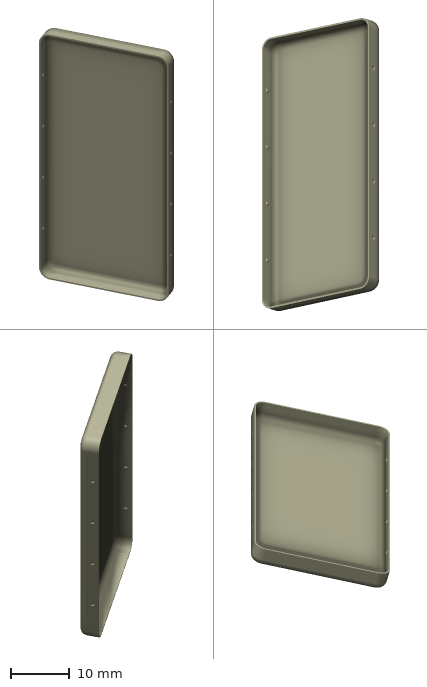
import cadquery as cq
import math

width = 23.9
depth = 3.5
height = 47.9

wall = 0.3
floor = 0.3
corner_radius = 2.0
outer_edge_radius = 1.3
inner_edge_radius = 1.0

dimple_radius = 0.4
dimple_depth = 0.2
dimple_pitch = 10.0
dimple_count = 4
dimple_from_rim = 1.1

rim_y = -depth / 2
sphere_radius = (dimple_radius**2 + dimple_depth**2) / (2 * dimple_depth)
arc_middle = math.asin(dimple_radius / sphere_radius) / 2


def rounded_block(x_size, y_size, z_size, corner, edge):
    """Block starting at the rim, with rounded corners and a rounded +Y edge."""
    block = cq.Workplane("XY").box(x_size, y_size, z_size)
    block = block.translate((0, rim_y + y_size / 2, 0))
    return block.edges("|Y").fillet(corner).faces(">Y").edges().fillet(edge)


def dimple_caps(wall_x, overlap):
    """Rows of domes reaching inward from the planes at +/- wall_x, with a plug outside each."""
    profile = (
        cq.Workplane("XY")
        .moveTo(wall_x - dimple_depth, 0)
        .threePointArc(
            (wall_x - dimple_depth + sphere_radius * (1 - math.cos(arc_middle)),
             sphere_radius * math.sin(arc_middle)),
            (wall_x, dimple_radius),
        )
        .lineTo(wall_x + overlap, dimple_radius)
        .lineTo(wall_x + overlap, 0)
        .close()
    )
    dome = profile.revolve(360, (0, 0, 0), (1, 0, 0))
    domes = []
    for index in range(dimple_count):
        z = (index - (dimple_count - 1) / 2) * dimple_pitch
        right = dome.translate((0, rim_y + dimple_from_rim, z))
        domes += [right, right.mirror("YZ")]
    return domes


outer = rounded_block(width, depth, height, corner_radius, outer_edge_radius)
cavity = rounded_block(
    width - 2 * wall, depth - floor, height - 2 * wall, corner_radius - wall, inner_edge_radius
)

result = outer.cut(cavity)

for cap in dimple_caps(width / 2 - wall, wall / 2):
    result = result.union(cap)
for hollow in dimple_caps(width / 2, wall):
    result = result.cut(hollow)